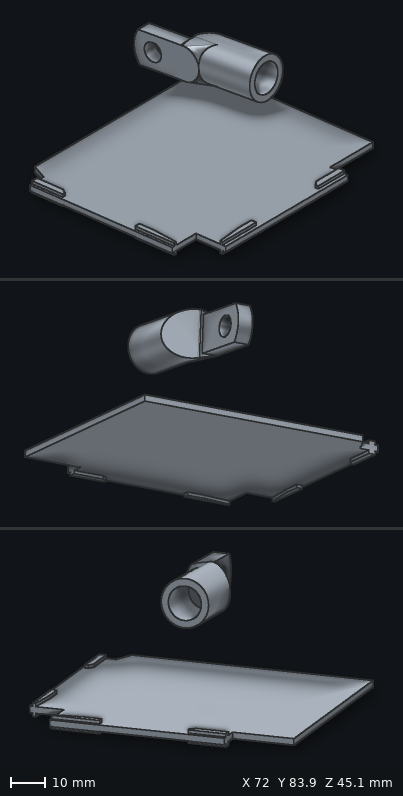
import cadquery as cq
import math

PLATE_WIDTH = 72.0
PLATE_DEPTH = 83.9
PLATE_THICKNESS = 2.0
STEP_TOP_X = 65.2
STEP_TOP_Y = 64.85
STEP_BOTTOM_X = 60.6
STEP_BOTTOM_Y = 10.6
CORNER_X = 5.9
CORNER_LOW_Y = 6.1
CORNER_HIGH_Y = 8.9

RIB_HEIGHT = 1.0
BOTTOM_RIB_MARGIN = 0.9
RIGHT_RIB_MARGIN = 1.3
SHORT_RIB_LENGTH = 11.75
SHORT_RIB_WIDTH = 2.2
SHORT_RIB_TAPER = 1.7
SHORT_RIB_TIP = 1.1
LONG_RIB_LENGTH = 15.0
LONG_RIB_WIDTH = 1.85
LONG_RIB_TAPER = 9.4
LONG_RIB_TIP = 0.9

MOUTH_CENTRE = (56.4, 46.65, 35.7)
LUG_TILT = 3.6
BARREL_RADIUS = 7.4
BORE_RADIUS = 5.1
BORE_DEPTH = 16.8
BARREL_LENGTH = 25.2
BEVEL_START = 17.95
BEVEL_END = 24.75
SHOULDER_END = 26.2
SHOULDER_HEIGHT = 1.2
TONGUE_LENGTH = 44.55
TONGUE_HALF_WIDTH = 5.9
TONGUE_THICKNESS = 4.95
TONGUE_END_SAGITTA = 1.85
HOLE_DISTANCE = 37.3
HOLE_DIAMETER = 6.5
FLAT_END = 19.55
WEDGE_TIP = 16.45

FLAT_Y = -BARREL_RADIUS
TONGUE_BACK_Y = FLAT_Y + TONGUE_THICKNESS
ARC_CENTRE_X = -FLAT_END - TONGUE_HALF_WIDTH
WEDGE_HALF_WIDTH = math.sqrt(BARREL_RADIUS**2 - TONGUE_BACK_Y**2)


def make_rib(length, width, taper, tip):
    """Rib lying along +X from the origin, +Y side tapered towards its far end, on both plate faces."""
    profile = [(0, 0), (length, 0), (length, tip), (length - taper, width), (0, width)]
    full_height = PLATE_THICKNESS + 2 * RIB_HEIGHT
    return cq.Workplane("XY").polyline(profile).close().extrude(full_height / 2, both=True)


def make_plate():
    outline = [
        (CORNER_X, 0),
        (STEP_BOTTOM_X, 0),
        (STEP_BOTTOM_X, STEP_BOTTOM_Y),
        (PLATE_WIDTH, STEP_BOTTOM_Y),
        (PLATE_WIDTH, STEP_TOP_Y),
        (STEP_TOP_X, STEP_TOP_Y),
        (STEP_TOP_X, PLATE_DEPTH),
        (0, PLATE_DEPTH),
        (0, CORNER_HIGH_Y),
        (CORNER_X, CORNER_LOW_Y),
    ]
    plate = cq.Workplane("XY").polyline(outline).close().extrude(PLATE_THICKNESS / 2, both=True)

    short_rib = make_rib(SHORT_RIB_LENGTH, SHORT_RIB_WIDTH, SHORT_RIB_TAPER, SHORT_RIB_TIP)
    long_rib = make_rib(LONG_RIB_LENGTH, LONG_RIB_WIDTH, LONG_RIB_TAPER, LONG_RIB_TIP)
    long_rib_start_x = STEP_BOTTOM_X - LONG_RIB_LENGTH
    long_rib_start_y = STEP_BOTTOM_Y + LONG_RIB_LENGTH
    right_rib_x = PLATE_WIDTH - RIGHT_RIB_MARGIN

    def along_right_edge(rib, start_y):
        """Turn a rib to run towards -Y with its taper facing the plate centre."""
        turned = rib.mirror("XZ").rotate((0, 0, 0), (0, 0, 1), -90)
        return turned.translate((right_rib_x, start_y, 0))

    plate = plate.union(short_rib.translate((CORNER_X, BOTTOM_RIB_MARGIN, 0)))
    plate = plate.union(long_rib.translate((long_rib_start_x, BOTTOM_RIB_MARGIN, 0)))
    plate = plate.union(along_right_edge(short_rib, STEP_TOP_Y))
    plate = plate.union(along_right_edge(long_rib, long_rib_start_y))
    return plate


def make_barrel():
    """Round barrel, bevelled at the back down to the tongue."""
    barrel = cq.Workplane("YZ").circle(BARREL_RADIUS).extrude(-BARREL_LENGTH)
    bevel_waste = (
        cq.Workplane("XY")
        .moveTo(-BEVEL_START, BARREL_RADIUS)
        .lineTo(-BEVEL_END, TONGUE_BACK_Y + SHOULDER_HEIGHT)
        .lineTo(-SHOULDER_END, TONGUE_BACK_Y)
        .lineTo(-SHOULDER_END, BARREL_RADIUS)
        .close()
        .extrude(2 * BARREL_RADIUS, both=True)
    )
    return barrel.cut(bevel_waste)


def make_tongue():
    """Flat tongue with a shallow round outer end and a semicircular inner end."""
    corner_x = TONGUE_END_SAGITTA - TONGUE_LENGTH
    return (
        cq.Workplane("XZ", origin=(0, FLAT_Y, 0))
        .moveTo(corner_x, -TONGUE_HALF_WIDTH)
        .lineTo(ARC_CENTRE_X, -TONGUE_HALF_WIDTH)
        .threePointArc((-FLAT_END, 0), (ARC_CENTRE_X, TONGUE_HALF_WIDTH))
        .lineTo(corner_x, TONGUE_HALF_WIDTH)
        .threePointArc((-TONGUE_LENGTH, 0), (corner_x, -TONGUE_HALF_WIDTH))
        .close()
        .extrude(-TONGUE_THICKNESS)
    )


def make_flare():
    """Block widening from the flat to the full barrel width, level with the tongue."""
    def rectangle(start, end, half_width, y):
        corners = [(start, -half_width), (end, -half_width), (end, half_width), (start, half_width)]
        return cq.Wire.makePolygon([cq.Vector(x, y, z) for x, z in corners], close=True)

    flat = rectangle(-SHOULDER_END, ARC_CENTRE_X, TONGUE_HALF_WIDTH, FLAT_Y)
    back = rectangle(-BARREL_LENGTH, -WEDGE_TIP, WEDGE_HALF_WIDTH, TONGUE_BACK_Y)
    return cq.Workplane(cq.Solid.makeLoft([flat, back], True))


def make_wedge(side):
    """Oblique cone from a quarter of the flat's round end to a point on the barrel."""
    diagonal = TONGUE_HALF_WIDTH * math.sqrt(0.5)
    quarter = (
        cq.Workplane("XZ", origin=(0, FLAT_Y, 0))
        .moveTo(ARC_CENTRE_X, 0)
        .lineTo(ARC_CENTRE_X, side * TONGUE_HALF_WIDTH)
        .threePointArc((ARC_CENTRE_X + diagonal, side * diagonal), (-FLAT_END, 0))
        .close()
        .val()
    )
    apex = cq.Vertex.makeVertex(-WEDGE_TIP, TONGUE_BACK_Y, side * WEDGE_HALF_WIDTH)
    return cq.Workplane(cq.occ_impl.shapes.loft(quarter, apex, cap=True, ruled=True))


def make_lug():
    lug = make_barrel().union(make_tongue()).union(make_flare())
    for side in (-1, 1):
        lug = lug.union(make_wedge(side))
    bore = cq.Workplane("YZ").circle(BORE_RADIUS).extrude(-BORE_DEPTH)
    hole = (
        cq.Workplane("XZ", origin=(-HOLE_DISTANCE, 0, 0))
        .circle(HOLE_DIAMETER / 2)
        .extrude(BARREL_RADIUS, both=True)
    )
    lug = lug.cut(bore).cut(hole)
    return lug.rotate((0, 0, 0), (0, 1, 0), -LUG_TILT).translate(MOUTH_CENTRE)


plate = make_plate()
lug = make_lug()

result = cq.Compound.makeCompound([plate.solids().val(), lug.solids().val()])